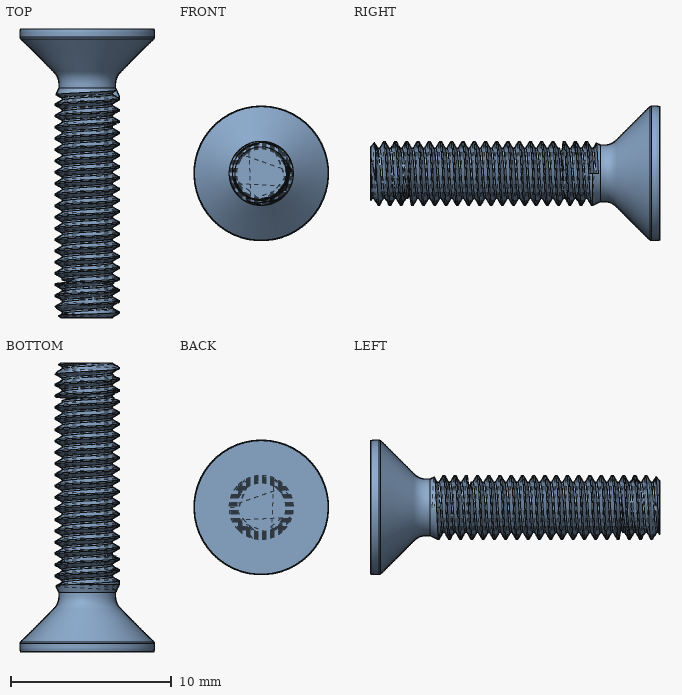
import cadquery as cq
import math


total_length = 18.0

head_diameter = 8.4
rim_depth = 0.62
rim_corner_in = 0.04
face_corner_depth = 0.18
cone_corner_depth = 0.11
cone_half_angle = math.radians(45)
underhead_fillet = 1.0

major_diameter = 4.0
pitch = 0.7
flank_angle = math.radians(30)
sharp_height = pitch / (2 * math.tan(flank_angle))
pitch_diameter = major_diameter - 3 / 4 * sharp_height
thread_depth = 17 / 24 * sharp_height
crest_width = pitch / 8
thread_start = 4.03

neck_end = 3.70
lead_in_angle = math.radians(25)
tip_radius = 1.65
tip_chamfer_length = 0.3

head_radius = head_diameter / 2
major_radius = major_diameter / 2
neck_radius = pitch_diameter / 2


def make_blank():
    """Unthreaded screw: half outline (radius, depth) revolved about Z.

    The outline lies in YZ, a quarter turn from where the thread groove starts, so
    that the seam of the revolved faces stays clear of the end of the groove.
    """
    corner_radius = head_radius - rim_corner_in
    fillet_start_radius = neck_radius + underhead_fillet * (1 - math.cos(cone_half_angle))
    fillet_start = rim_depth + (corner_radius - fillet_start_radius) / math.tan(cone_half_angle)
    fillet_end = fillet_start + underhead_fillet * math.sin(cone_half_angle)
    half_angle = cone_half_angle / 2
    fillet_mid = (
        neck_radius + underhead_fillet * (1 - math.cos(half_angle)),
        fillet_end - underhead_fillet * math.sin(half_angle),
    )
    lead_in_end = neck_end + (major_radius - neck_radius) / math.tan(lead_in_angle)

    outline = (
        cq.Workplane("YZ")
        .moveTo(0, 0)
        .lineTo(corner_radius, 0)
        .lineTo(head_radius, face_corner_depth)
        .lineTo(head_radius, rim_depth - cone_corner_depth)
        .lineTo(corner_radius, rim_depth)
        .lineTo(fillet_start_radius, fillet_start)
        .threePointArc(fillet_mid, (neck_radius, fillet_end))
        .lineTo(neck_radius, neck_end)
        .lineTo(major_radius, lead_in_end)
        .lineTo(major_radius, total_length - tip_chamfer_length)
        .lineTo(tip_radius, total_length)
        .lineTo(0, total_length)
        .close()
    )
    return outline.revolve(360, (0, 0, 0), (0, 1, 0))


def make_thread_groove():
    """Helical V-groove cutter with a flat root, running out past the tip."""
    clearance = 0.05
    root_radius = major_radius - thread_depth
    outer_radius = major_radius + clearance
    half_at_crest = (pitch - crest_width) / 2
    half_at_root = half_at_crest - thread_depth * math.tan(flank_angle)
    half_at_outer = half_at_crest + clearance * math.tan(flank_angle)

    groove_length = total_length + pitch - thread_start
    helix = cq.Wire.makeHelix(pitch, groove_length, root_radius)
    section = cq.Workplane("XZ").polyline([
        (root_radius, -half_at_root),
        (outer_radius, -half_at_outer),
        (outer_radius, half_at_outer),
        (root_radius, half_at_root),
    ]).close()
    groove = section.sweep(cq.Workplane(helix), isFrenet=True)
    return groove.translate((0, 0, thread_start))


screw = make_blank().cut(make_thread_groove())

result = screw.rotate((0, 0, 0), (1, 0, 0), 90)